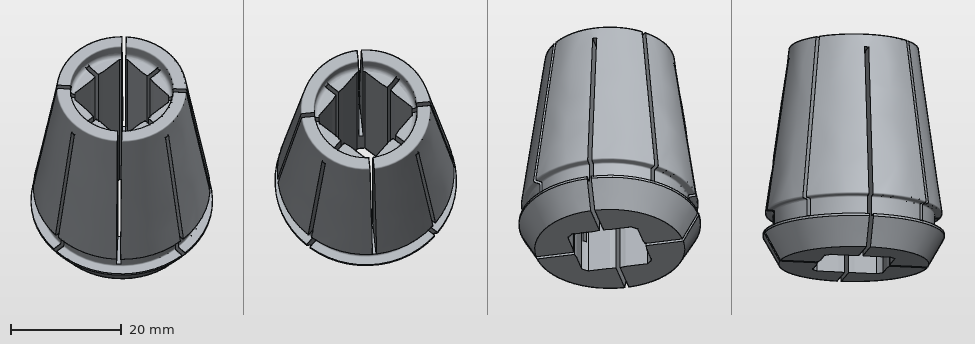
import cadquery as cq
import math

height = 40.0
edge_rounding = 0.3

flange_radius = 16.4
flange_bottom_radius = 13.55
flange_edge_z = 5.1
flange_top_z = 5.5

groove_radius = 14.65
groove_top_z = 9.2

taper_half_angle = 8.0
top_radius = 11.7

shank_radius = 6.65
square_half_width = 6.5
square_corner_radius = 8.5

recess_radius = 9.3
recess_floor_z = 37.3
recess_fillet = 0.85

slot_width = 0.75
lower_slot_top_z = 37.5
upper_slot_bottom_z = 6.1


def make_body():
    """Revolve the outer profile and round the groove corners and both taper ends."""
    taper_length = height - groove_top_z
    taper_bottom_radius = top_radius + taper_length * math.tan(math.radians(taper_half_angle))
    profile = [
        (0, 0),
        (flange_bottom_radius, 0),
        (flange_radius, flange_edge_z),
        (flange_radius, flange_top_z),
        (groove_radius, flange_top_z),
        (groove_radius, groove_top_z),
        (taper_bottom_radius, groove_top_z),
        (top_radius, height),
        (0, height),
    ]
    body = cq.Workplane("XZ").polyline(profile).close().revolve(360, (0, 0), (0, 1))

    taper_top = cq.selectors.RadiusNthSelector(0)
    groove_corners = cq.selectors.RadiusNthSelector(2)
    taper_bottom = cq.selectors.RadiusNthSelector(3)
    return body.edges(taper_top + groove_corners + taper_bottom).fillet(edge_rounding)


def make_bore():
    """Square drive with corners cut by a cylinder, joined with the round shank hole."""
    square = cq.Workplane("XY").rect(2 * square_half_width, 2 * square_half_width).extrude(height)
    corner_limit = cq.Workplane("XY").circle(square_corner_radius).extrude(height)
    shank_hole = cq.Workplane("XY").circle(shank_radius).extrude(height)
    return square.intersect(corner_limit).union(shank_hole)


def make_recess():
    """Round top recess with a rounded floor corner."""
    depth = height - recess_floor_z
    recess = cq.Workplane("XY", origin=(0, 0, recess_floor_z)).circle(recess_radius).extrude(depth)
    return recess.faces("<Z").edges().fillet(recess_fillet)


def make_cross_slots(bottom_z, top_z, angle):
    """Two full-width slots crossing at right angles, turned about the axis."""
    slot = (
        cq.Workplane("XY", origin=(0, 0, bottom_z))
        .rect(3 * flange_radius, slot_width)
        .extrude(top_z - bottom_z)
        .rotate((0, 0, 0), (0, 0, 1), angle)
    )
    return slot.union(slot.rotate((0, 0, 0), (0, 0, 1), 90))


recessed_body = make_body().cut(make_recess())
recess_mouth = cq.selectors.RadiusNthSelector(0)
rounded_body = recessed_body.faces(">Z").edges(recess_mouth).fillet(edge_rounding)

result = (
    rounded_body
    .cut(make_bore())
    .cut(make_cross_slots(0, lower_slot_top_z, 0))
    .cut(make_cross_slots(upper_slot_bottom_z, height, 45))
)